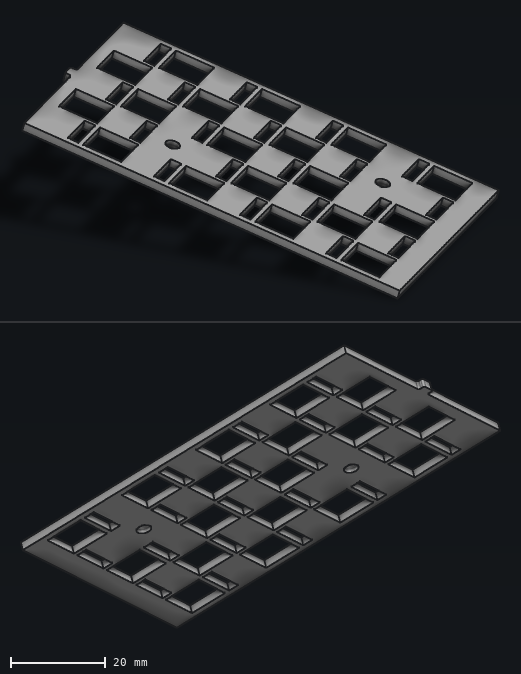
import cadquery as cq

tilt_angle = 15.0
overall_length = 90.7
thickness = 2.0
plate_width = 53.4

tab_length = 1.5
tab_width = 3.0
tab_radius = 0.5

column_count = 8
row_count = 5
pitch = 10.2
window_size = 9.1
slot_width = 2.5
hole_diameter = 3.2
edge_margin = 3.0

hole_cells = [(2, 1), (6, 3)]

plate_length = overall_length - tab_length
plate_left = -plate_length / 2
first_column_x = plate_left + edge_margin + window_size / 2
first_row_y = -pitch * (row_count - 1) / 2
slot_offset = (window_size - slot_width) / 2


def make_blank():
    """Plate and tab, with round tab corners at tip and root."""
    plate = cq.Workplane("XY").box(plate_length, plate_width, thickness)
    tab = (
        cq.Workplane("XY")
        .box(2 * tab_length, tab_width, thickness)
        .translate((plate_left, 0, 0))
        .edges("|Z and <X")
        .fillet(tab_radius)
    )
    root_edges = cq.selectors.BoxSelector(
        (plate_left - tab_radius, -tab_width, -thickness),
        (plate_left + tab_radius, tab_width, thickness),
    )
    return plate.union(tab).edges("|Z").edges(root_edges).fillet(tab_radius)


def cut_cell(body, column, row):
    """Cut the opening of one grid cell through the plate."""
    x = first_column_x + column * pitch
    y = first_row_y + row * pitch
    is_window_cell = (column + row) % 2 == 1
    if (column, row) in hole_cells:
        cutter = cq.Workplane("XY").circle(hole_diameter / 2).extrude(thickness, both=True)
    elif is_window_cell:
        cutter = cq.Workplane("XY").box(window_size, window_size, 2 * thickness)
    else:
        cutter = cq.Workplane("XY").box(slot_width, window_size, 2 * thickness)
        x += slot_offset
    return body.cut(cutter.translate((x, y, 0)))


grid_plate = make_blank()
for row in range(row_count):
    for column in range(column_count):
        grid_plate = cut_cell(grid_plate, column, row)

result = grid_plate.rotate((0, 0, 0), (0, 1, 0), tilt_angle)